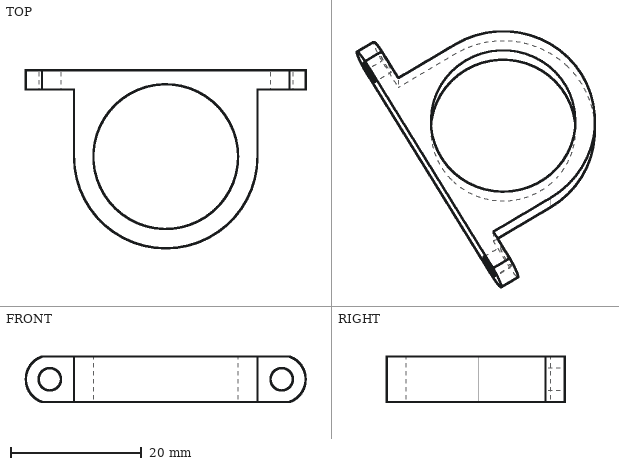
import cadquery as cq

length = 42.85
depth = 27.3
height = 7.0

ring_diameter = 28.12
bore_diameter = 22.1
ring_radius = ring_diameter / 2
back_y = depth - ring_radius

flange_thickness = 3.0
ear_radius = 3.7
ear_hole_diameter = 3.4
ear_spacing = length - 2 * ear_radius


def make_flange():
    """Rounded-end bar trimmed flat at top and bottom to the part height."""
    back_plane = cq.Workplane("XZ", origin=(0, back_y, 0))
    rounded_bar = back_plane.slot2D(length, 2 * ear_radius).extrude(flange_thickness)
    height_limit = back_plane.rect(length, height).extrude(flange_thickness)
    return rounded_bar.intersect(height_limit)


def make_ring_body():
    """U-shaped block: half-round front with straight sides to the back."""
    return (
        cq.Workplane("XY", origin=(0, 0, -height / 2))
        .moveTo(-ring_radius, back_y)
        .lineTo(-ring_radius, 0)
        .threePointArc((0, -ring_radius), (ring_radius, 0))
        .lineTo(ring_radius, back_y)
        .close()
        .extrude(height)
    )


def make_bore():
    return (
        cq.Workplane("XY", origin=(0, 0, -height / 2))
        .circle(bore_diameter / 2)
        .extrude(height)
    )


def make_ear_holes():
    """Screw holes through the flange, concentric with its rounded ends."""
    return (
        cq.Workplane("XZ", origin=(0, back_y, 0))
        .pushPoints([(-ear_spacing / 2, 0), (ear_spacing / 2, 0)])
        .circle(ear_hole_diameter / 2)
        .extrude(flange_thickness)
    )


result = make_ring_body().union(make_flange()).cut(make_bore()).cut(make_ear_holes())